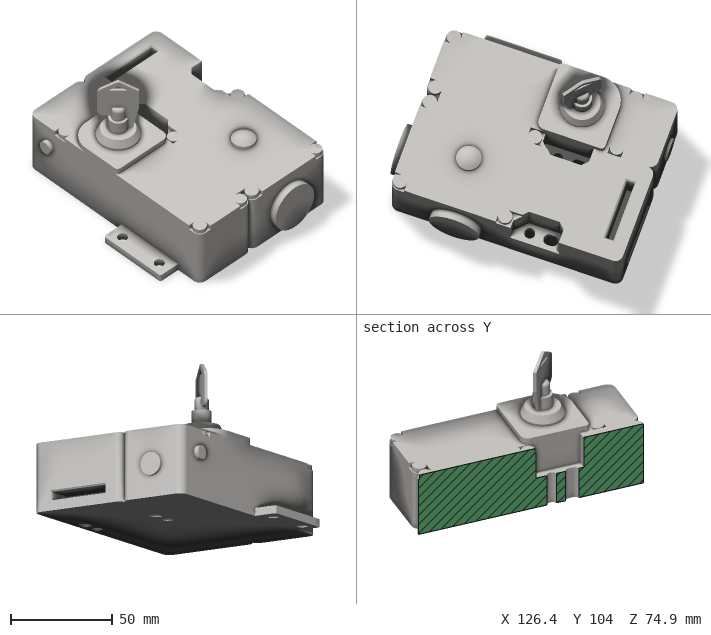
import cadquery as cq
import math


length = 120.8
height = 35.0
rear_depth = 52.0
front_depth = 35.7
corner_radius = 4.0

plug_radius = 13.2
plug_length = 4.0
plug_x = 85.8
plug_z = 15.0

head_radius = 3.5
head_height = 2.5
screw_inset = 4.0
mid_screw_x = 61.7
rear_left_screw_x = 27.2
rear_left_screw_inset = 6.0
front_left_screw_x = 21.6

recess_start = 32.3
recess_length = 25.3
recess_depth = 10.2
recess_small_chamfer = 3.0
recess_large_chamfer = 6.2
ear_thickness = height / 2
hole_diameter = 5.5
hole_x = 49.3
slot_hole_x = 38.3
slot_hole_length = 7.5
hole_inset = 5.3

actuator_width = 4.2
actuator_length = 31.5
actuator_chamfer = 0.8
actuator_depth = 15.2
top_slot_x = 9.4
side_slot_z = 7.5

tab_start = 65.7
tab_length = 40.0
tab_depth = 12.3
tab_thickness = 4.0
tab_corner_radius = 1.0
tab_hole_spacing = 26.0
tab_hole_offset = 6.2
pin_radius = 3.5
pin_length = 2.7
pin_x = 13.9
pin_z = 22.6
button_radius = 5.8
button_length = 1.6
button_z = 16.6

plate_side = front_depth
plate_start = 27.0
plate_above = 3.5
plate_below = 6.6
plate_small_radius = 2.0
plate_medium_radius = 4.0
plate_large_radius = 13.2
bezel_radius = 11.1
bezel_top_radius = 9.1
bezel_rim = 1.1
bezel_cone = 4.0

barrel_radius = 4.9
barrel_height = 7.3
spigot_radius = 3.5
spigot_height = 7.1
spigot_fillet = 1.8
key_thickness = 1.6
key_half_width = 10.4
key_peak = 31.5
key_shoulder = 25.3
key_taper_start = 14.2
key_heel = 8.7
key_toe = 1.0
key_toe_reach = 7.1
key_bow_radius = 3.8
key_tip_radius = 1.5
key_toe_radius = 0.8
key_hole_half_width = 4.9
key_hole_base = 25.7
key_angle = 45

lamp_x = 88.5
lamp_neck_radius = 5.0
lamp_neck_height = 0.6
lamp_radius = 6.3
lamp_rim = 1.8
lamp_dome = 2.5

rear_middle_y = rear_depth / 2
front_middle_y = -front_depth / 2
lock_x = plate_start + plate_side / 2
bezel_top_z = height + plate_above + bezel_rim + bezel_cone


def block(x, y, z, dx, dy, dz):
    """Box with its lowest corner at (x, y, z)."""
    return cq.Workplane("XY").box(dx, dy, dz, centered=False).translate((x, y, z))


def upright(x, y, z, radius, tall):
    """Vertical cylinder standing at (x, y, z)."""
    return cq.Workplane(cq.Solid.makeCylinder(radius, tall, cq.Vector(x, y, z)))


def boss(start, direction, radius, reach):
    """Cylinder that runs from a point in a given direction."""
    return cq.Workplane(cq.Solid.makeCylinder(radius, reach, cq.Vector(*start), cq.Vector(*direction)))


def shell_block(y, depth):
    """Housing block with rounded vertical edges."""
    return block(0, y, 0, length, depth, height).edges("|Z").fillet(corner_radius)


def head_notch(x, y, toward_x, toward_y):
    """Clearance around a screw head, open toward the given sides (-1, 0 or 1)."""
    floor_z = height - head_height
    middle = cq.Vector(x, y, floor_z + head_height / 2)
    reach = screw_inset + head_radius
    notch = upright(x, y, floor_z, head_radius, head_height)
    for dx, dy in ((toward_x, 0), (0, toward_y), (toward_x, toward_y)):
        if dx or dy:
            arm_x = reach if dx else 2 * head_radius
            arm_y = reach if dy else 2 * head_radius
            arm = cq.Workplane("XY").box(arm_x, arm_y, head_height)
            offset = cq.Vector(dx * reach / 2, dy * reach / 2, 0)
            notch = notch.union(arm.translate(middle + offset))
    return notch


def add_screws(housing, screws):
    """Cut the notches, then set in the heads, whose outlines stay as edges in the top face."""
    for x, y, toward_x, toward_y in screws:
        if toward_x or toward_y:
            housing = housing.cut(head_notch(x, y, toward_x, toward_y))
    for x, y, _, _ in screws:
        head = upright(x, y, height - head_height, head_radius, head_height)
        housing = housing.union(head, clean=False)
    return housing


def mounting_recess():
    """Recess and ear holes at the seam side; the recess edge lies on Y = 0."""
    end = recess_start + recess_length
    recess = (
        cq.Workplane("XY")
        .workplane(offset=ear_thickness)
        .moveTo(recess_start, 0)
        .lineTo(recess_start, recess_depth - recess_small_chamfer)
        .lineTo(recess_start + recess_small_chamfer, recess_depth)
        .lineTo(end - recess_large_chamfer, recess_depth)
        .lineTo(end, recess_depth - recess_large_chamfer)
        .lineTo(end, 0)
        .close()
        .extrude(height - ear_thickness)
    )
    round_hole = upright(hole_x, hole_inset, 0, hole_diameter / 2, height)
    long_hole = (
        cq.Workplane("XY")
        .center(slot_hole_x, hole_inset)
        .slot2D(slot_hole_length, hole_diameter)
        .extrude(height)
    )
    return recess.union(round_hole).union(long_hole)


def actuator_slot():
    """Slot cutter, mouth at Z = 0, with a chamfered mouth that is long in Y."""
    mouth_width = actuator_width + 2 * actuator_chamfer
    mouth_length = actuator_length + 2 * actuator_chamfer
    slot = cq.Workplane("XY").rect(actuator_width, actuator_length).extrude(-actuator_depth)
    mouth = (
        cq.Workplane("XY")
        .rect(mouth_width, mouth_length)
        .workplane(offset=-actuator_chamfer)
        .rect(actuator_width, actuator_length)
        .loft(ruled=True)
    )
    return slot.union(mouth)


def make_rear_housing():
    body = shell_block(0, rear_depth)
    recess = mounting_recess()
    body = body.cut(recess)
    body = body.cut(recess.mirror("XZ", (0, rear_middle_y, 0)))
    slot = actuator_slot()
    body = body.cut(slot.translate((top_slot_x, rear_middle_y, height)))
    side_slot = slot.rotate((0, 0, 0), (0, 1, 0), -90)
    body = body.cut(side_slot.translate((0, rear_middle_y, side_slot_z)))
    body = body.union(boss((plug_x, rear_depth, plug_z), (0, 1, 0), plug_radius, plug_length))
    body = body.union(boss((length, rear_middle_y, plug_z), (1, 0, 0), plug_radius, plug_length))
    screws = []
    for side in (-1, 1):
        edge_y = rear_middle_y + side * (rear_middle_y - screw_inset)
        left_y = rear_middle_y + side * (rear_middle_y - rear_left_screw_inset)
        screws.append((rear_left_screw_x, left_y, 0, 0))
        screws.append((mid_screw_x, edge_y, -1, side))
        screws.append((length - screw_inset, edge_y, 1, side))
    return add_screws(body, screws)


def plate_block():
    """Rounded square block of the lock plate, reaching down into the housing."""
    block_height = plate_above + plate_below
    return (
        block(plate_start, -front_depth, height - plate_below, plate_side, plate_side, block_height)
        .edges("|Z and <X and <Y")
        .fillet(plate_large_radius)
        .edges("|Z and >X and >Y")
        .fillet(plate_medium_radius)
        .edges("|Z and >X and <Y")
        .fillet(plate_small_radius)
        .edges("|Z and <X and >Y")
        .fillet(plate_small_radius)
    )


def mounting_tab():
    tab = block(tab_start, -front_depth - tab_depth, 0, tab_length, tab_depth, tab_thickness)
    tab = tab.edges("|Z and <Y").fillet(tab_corner_radius)
    for side in (-1, 1):
        x = tab_start + (tab_length + side * tab_hole_spacing) / 2
        y = -front_depth - tab_hole_offset
        tab = tab.cut(upright(x, y, 0, hole_diameter / 2, tab_thickness))
    return tab


def make_front_housing():
    body = shell_block(-front_depth, front_depth).cut(plate_block())
    body = body.union(mounting_tab())
    body = body.union(boss((pin_x, -front_depth, pin_z), (0, -1, 0), pin_radius, pin_length))
    body = body.union(boss((0, front_middle_y, button_z), (-1, 0, 0), button_radius, button_length))
    screws = []
    for side in (-1, 1):
        edge_y = front_middle_y + side * (front_depth / 2 - screw_inset)
        screws.append((front_left_screw_x, edge_y, 0, side))
        screws.append((length - screw_inset, edge_y, 1, side))
    body = add_screws(body, screws)
    flush_plug = boss((plug_x, -front_depth, plug_z), (0, 1, 0), plug_radius, plug_length)
    return body.union(flush_plug, clean=False)


def make_lock_plate():
    bezel = (
        cq.Workplane("XZ")
        .lineTo(bezel_radius, 0)
        .lineTo(bezel_radius, bezel_rim)
        .lineTo(bezel_top_radius, bezel_rim + bezel_cone)
        .lineTo(0, bezel_rim + bezel_cone)
        .close()
        .revolve(360, (0, 0), (0, 1))
        .translate((lock_x, front_middle_y, height + plate_above))
    )
    return plate_block().union(bezel)


def key_blade():
    """Flat blade in the XZ plane, centred on the key axis, with the barrel foot at Z = 0."""
    bow_slope = (key_peak - key_shoulder) / key_half_width
    blade = (
        cq.Workplane("XZ")
        .moveTo(0, key_peak)
        .lineTo(key_half_width, key_shoulder)
        .lineTo(key_half_width, key_taper_start)
        .lineTo(key_toe_reach, key_toe)
        .lineTo(0, key_toe)
        .lineTo(0, key_heel)
        .lineTo(-key_half_width, key_heel)
        .lineTo(-key_half_width, key_shoulder)
        .close()
        .extrude(key_thickness / 2, both=True)
    )
    blade = blade.edges("|Y and >Z").fillet(key_tip_radius)
    blade = blade.edges("|Y and <X").fillet(key_bow_radius)
    toe = cq.selectors.NearestToPointSelector((key_toe_reach, 0, key_toe))
    blade = blade.edges(toe).fillet(key_toe_radius)
    hole = (
        cq.Workplane("XZ")
        .moveTo(-key_hole_half_width, key_hole_base)
        .lineTo(key_hole_half_width, key_hole_base)
        .lineTo(0, key_hole_base + key_hole_half_width * bow_slope)
        .close()
        .extrude(key_thickness, both=True)
    )
    return blade.cut(hole)


def make_key():
    barrel = upright(0, 0, 0, barrel_radius, barrel_height)
    spigot = upright(0, 0, barrel_height, spigot_radius, spigot_height)
    spigot = spigot.faces(">Z").edges().fillet(spigot_fillet)
    key = barrel.union(spigot).union(key_blade())
    key = key.rotate((0, 0, 0), (0, 0, 1), key_angle)
    return key.translate((lock_x, front_middle_y, bezel_top_z))


def make_lamp():
    rim_top = lamp_neck_height + lamp_rim
    dome_radius = (lamp_radius**2 + lamp_dome**2) / (2 * lamp_dome)
    half_reach = lamp_radius / 2
    half_z = rim_top + lamp_dome - dome_radius + math.sqrt(dome_radius**2 - half_reach**2)
    return (
        cq.Workplane("XZ")
        .lineTo(lamp_neck_radius, 0)
        .lineTo(lamp_neck_radius, lamp_neck_height)
        .lineTo(lamp_radius, lamp_neck_height)
        .lineTo(lamp_radius, rim_top)
        .threePointArc((half_reach, half_z), (0, rim_top + lamp_dome))
        .close()
        .revolve(360, (0, 0), (0, 1))
        .translate((lamp_x, rear_middle_y, height))
    )


rear_housing = make_rear_housing()
front_housing = make_front_housing()
lock_plate = make_lock_plate()
key = make_key()
lamp = make_lamp()

bodies = [rear_housing, front_housing, lock_plate, key, lamp]
result = cq.Compound.makeCompound([body.solids().val() for body in bodies])